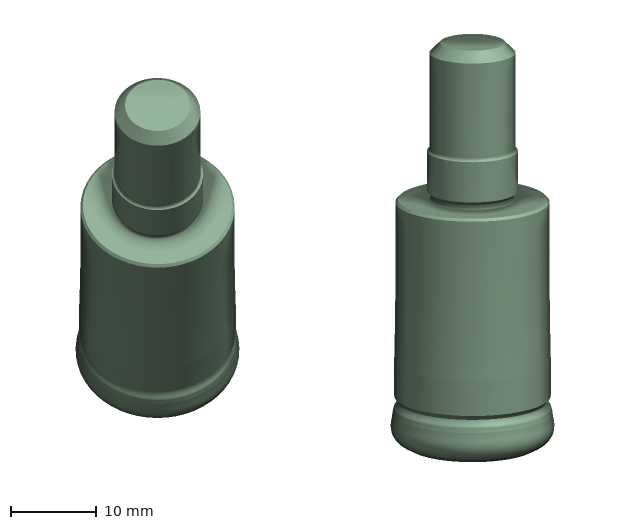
import cadquery as cq
import math


TOTAL_HEIGHT = 49.0
STUD_RADIUS = 5.0
TIP_CHAMFER = 1.22
COLLAR_RADIUS = 5.3
COLLAR_TOP_Z = 35.95
COLLAR_FILLET_HEIGHT = 0.45
COLLAR_BOTTOM_Z = 31.1

NECK_RADIUS = 4.8
NECK_TOP_Z = 30.6
NECK_FILLET = 0.3
NECK_FLANK_ANGLE = math.radians(50)

BODY_RADIUS = 8.95
BODY_TOP_Z = 30.1
BODY_CHAMFER = 0.3
FLARE_TOP_Z = 22.2
FLARE_BOTTOM_Z = 10.7
SKIRT_RADIUS = 9.1
SKIRT_BOTTOM_Z = 6.4
SKIRT_UNDERCUT_ARC = 1.25

JOINT_RADIUS = 8.6
JOINT_Z = 5.85

RIM_RADIUS = 9.1
RIM_Z = 5.15
RIM_ARC = 0.6
LIP_TOP_RADIUS = 9.2
LIP_TOP_Z = 4.85
LIP_BOTTOM_RADIUS = 9.3
LIP_BOTTOM_Z = 4.4
WAIST_ARC = 8.35
WAIST_BOTTOM_Z = 3.4

BULGE_DIAMETER = 19.05
BULGE_ARC = 2.15
BULGE_CENTER_Z = 2.8
BULGE_TOP_ANGLE = math.radians(8)
BULGE_BOTTOM_ANGLE = math.radians(-63)

SOLE_EDGE_RADIUS = 7.55
SOLE_EDGE_Z = 0.45
SOLE_FLAT_RADIUS = 5.3


def bulge_point(angle):
    """Point (radius, z) on the bulge arc, with the angle measured from horizontal."""
    center_radius = BULGE_DIAMETER / 2 - BULGE_ARC
    return (
        center_radius + BULGE_ARC * math.cos(angle),
        BULGE_CENTER_Z + BULGE_ARC * math.sin(angle),
    )


def make_stud_body():
    """Stud, neck and body as one turned piece, outlined from the tip downward."""
    flank_start = (
        NECK_RADIUS + NECK_FILLET * (1 - math.cos(NECK_FLANK_ANGLE)),
        NECK_TOP_Z + NECK_FILLET * math.sin(NECK_FLANK_ANGLE),
    )
    outline = (
        cq.Workplane("XZ")
        .moveTo(0, TOTAL_HEIGHT)
        .lineTo(STUD_RADIUS - TIP_CHAMFER, TOTAL_HEIGHT)
        .lineTo(STUD_RADIUS, TOTAL_HEIGHT - TIP_CHAMFER)
        .lineTo(STUD_RADIUS, COLLAR_TOP_Z + COLLAR_FILLET_HEIGHT)
        .tangentArcPoint((COLLAR_RADIUS, COLLAR_TOP_Z), relative=False)
        .lineTo(COLLAR_RADIUS, COLLAR_BOTTOM_Z)
        .lineTo(*flank_start)
        .tangentArcPoint((NECK_RADIUS, NECK_TOP_Z), relative=False)
        .lineTo(NECK_RADIUS, BODY_TOP_Z + NECK_FILLET)
        .tangentArcPoint((NECK_RADIUS + NECK_FILLET, BODY_TOP_Z), relative=False)
        .lineTo(BODY_RADIUS - BODY_CHAMFER, BODY_TOP_Z)
        .lineTo(BODY_RADIUS, BODY_TOP_Z - BODY_CHAMFER)
        .lineTo(BODY_RADIUS, FLARE_TOP_Z)
        .tangentArcPoint((SKIRT_RADIUS, FLARE_BOTTOM_Z), relative=False)
        .lineTo(SKIRT_RADIUS, SKIRT_BOTTOM_Z)
        .radiusArc((JOINT_RADIUS, JOINT_Z), -SKIRT_UNDERCUT_ARC)
        .lineTo(0, JOINT_Z)
        .close()
    )
    return outline.revolve(360, (0, 0), (0, 1))


def make_pad():
    """Rounded foot pad, outlined from the joint downward."""
    bulge_top = bulge_point(BULGE_TOP_ANGLE)
    bulge_middle = bulge_point((BULGE_TOP_ANGLE + BULGE_BOTTOM_ANGLE) / 2)
    bulge_bottom = bulge_point(BULGE_BOTTOM_ANGLE)
    waist_bottom_radius = bulge_top[0] - (WAIST_BOTTOM_Z - bulge_top[1]) * math.tan(BULGE_TOP_ANGLE)
    outline = (
        cq.Workplane("XZ")
        .moveTo(0, JOINT_Z)
        .lineTo(JOINT_RADIUS, JOINT_Z)
        .lineTo(RIM_RADIUS, RIM_Z)
        .radiusArc((LIP_TOP_RADIUS, LIP_TOP_Z), RIM_ARC)
        .lineTo(LIP_BOTTOM_RADIUS, LIP_BOTTOM_Z)
        .radiusArc((waist_bottom_radius, WAIST_BOTTOM_Z), -WAIST_ARC)
        .lineTo(*bulge_top)
        .threePointArc(bulge_middle, bulge_bottom)
        .lineTo(SOLE_EDGE_RADIUS, SOLE_EDGE_Z)
        .lineTo(SOLE_FLAT_RADIUS, 0)
        .lineTo(0, 0)
        .close()
    )
    return outline.revolve(360, (0, 0), (0, 1))


stud_body = make_stud_body()
pad = make_pad()

result = cq.Compound.makeCompound([stud_body.val(), pad.val()])